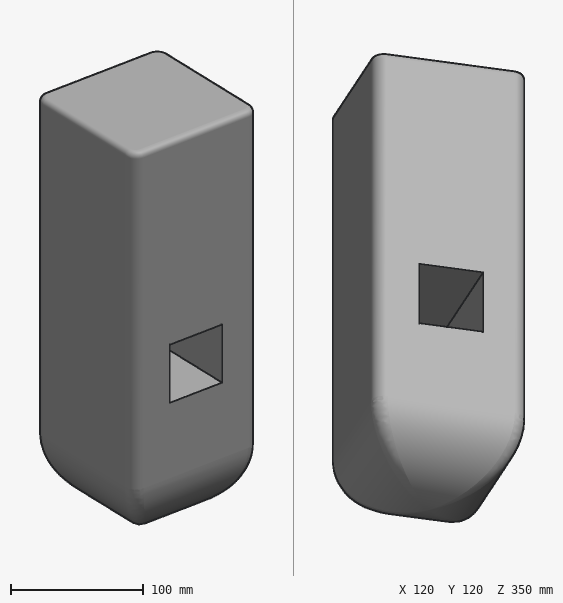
import cadquery as cq

height = 350.0
width = 120.0
half_width = width / 2
dome_height = half_width

corner_radius = 10.0
top_radius = 5.0

window_size = 50.0
window_bottom = 125.0


def round_bottomed_prism(plane):
    """Extrude a slab outline with a semicircular lower end across the block."""
    return (
        cq.Workplane(plane)
        .moveTo(-half_width, height)
        .lineTo(-half_width, dome_height)
        .threePointArc((0, 0), (half_width, dome_height))
        .lineTo(half_width, height)
        .close()
        .extrude(half_width, both=True)
    )


body = round_bottomed_prism("XZ").intersect(round_bottomed_prism("YZ"))

ridges = body.edges("not #Z")
body = ridges.fillet(corner_radius)
body = body.faces(">Z").edges().fillet(top_radius)

window_center_height = window_bottom + window_size / 2
window = cq.Workplane("XY").box(width, window_size, window_size).translate((0, 0, window_center_height))

result = body.cut(window)